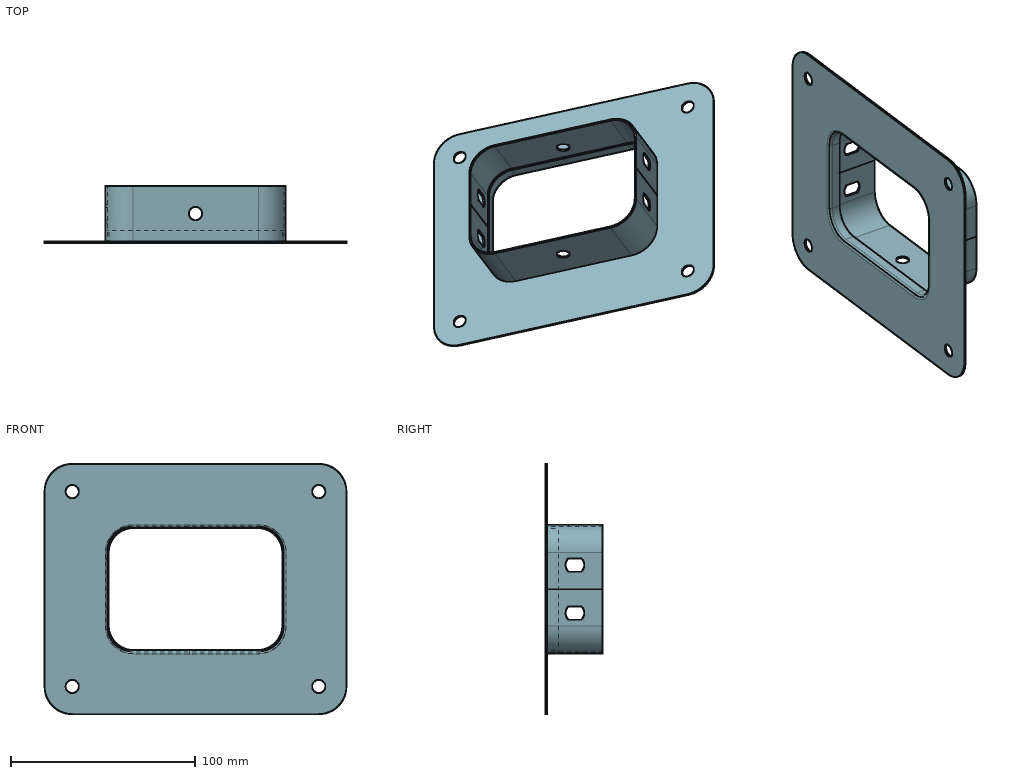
import cadquery as cq

plate_width = 164.0
plate_height = 136.0
sheet = 1.0
corner_radius = 15.1
hole_diameter = 7.0

collar_width = 98.0
collar_height = 70.0
collar_depth = 30.0
collar_middle_y = sheet + collar_depth / 2

flange_reach = 7.0
bend_radius = 2 * sheet

slot_length = 10.0
slot_height = hole_diameter
slot_spacing = 26.0


def rounded_block(width, height, radius, front_y, back_y):
    """Block centred on the Y axis whose four edges along Y are rounded."""
    depth = back_y - front_y
    block = cq.Workplane("XY").box(width, depth, height)
    return block.edges("|Y").fillet(radius).translate((0, front_y + depth / 2, 0))


def collar_block(inset, front_y, back_y):
    """Block following the collar outline, moved inward by inset."""
    return rounded_block(
        collar_width - 2 * inset,
        collar_height - 2 * inset,
        corner_radius - inset,
        front_y,
        back_y,
    )


def make_flanged_plate():
    plate = rounded_block(plate_width, plate_height, corner_radius, 0, sheet)
    flange = collar_block(sheet, 0, flange_reach)
    opening = collar_block(2 * sheet, 0, flange_reach)
    body = plate.union(flange).cut(opening)

    opening_edges = cq.selectors.BoxSelector(
        (-collar_width / 2, -sheet / 2, -collar_height / 2),
        (collar_width / 2, sheet / 2, collar_height / 2),
    )
    body = body.faces("<Y").edges(opening_edges).fillet(bend_radius)

    mounting_holes = (
        cq.Workplane("XZ")
        .rect(plate_width - 2 * corner_radius, plate_height - 2 * corner_radius, forConstruction=True)
        .vertices()
        .circle(hole_diameter / 2)
        .extrude(-sheet)
    )
    return body.cut(mounting_holes)


def make_slot_cutter(z):
    """Slot running through both side walls at height z."""
    disc = cq.Workplane("YZ").circle(slot_length / 2).extrude(collar_width / 2, both=True)
    flats = cq.Workplane("XY").box(collar_width, slot_length, slot_height)
    return disc.intersect(flats).translate((0, collar_middle_y, z))


def make_collar_half(side):
    """Half of the collar above (side = 1) or below (side = -1) the seam at z = 0."""
    back_y = sheet + collar_depth
    ring = collar_block(0, sheet, back_y).cut(collar_block(sheet, sheet, back_y))
    half_space = cq.Workplane("XY").box(collar_width, 2 * back_y, collar_height)
    half = ring.intersect(half_space.translate((0, 0, side * collar_height / 2)))

    wall_hole = (
        cq.Workplane("XY")
        .center(0, collar_middle_y)
        .circle(hole_diameter / 2)
        .extrude(side * collar_height / 2)
    )
    return half.cut(wall_hole).cut(make_slot_cutter(side * slot_spacing / 2))


flanged_plate = make_flanged_plate()
collar_halves = [make_collar_half(side).val() for side in (1, -1)]

result = cq.Compound.makeCompound([flanged_plate.val(), *collar_halves])